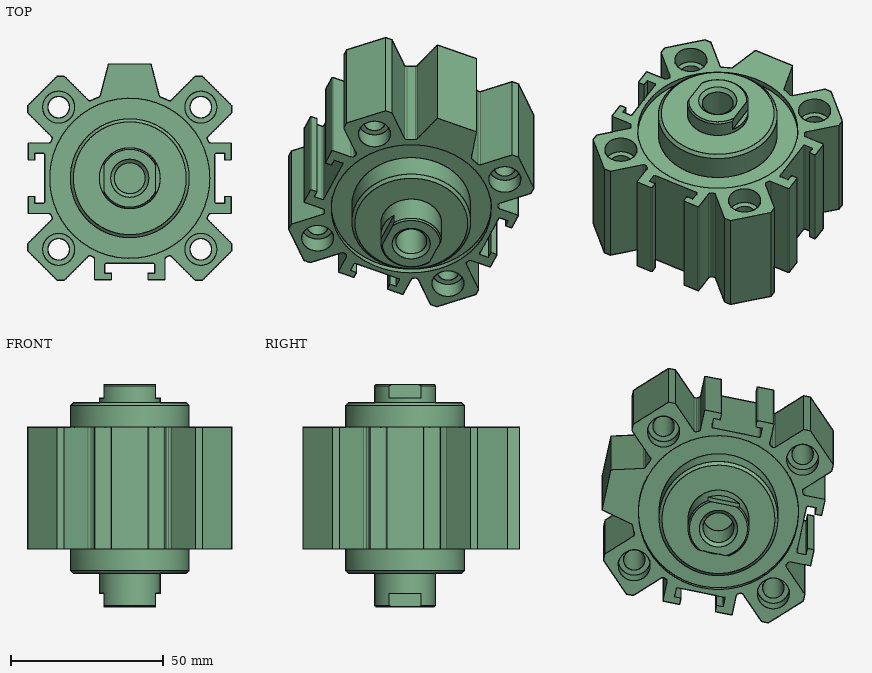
import cadquery as cq
import math

body_height = 40.0
wall_radius = 28.5
root_fillet = 0.8

envelope_half = 33.5
lug_reach = 40.5
lug_width = 17.0

bolt_offset = 23.3
bolt_hole_diameter = 7.0
counterbore_diameter = 10.5
counterbore_depth = 6.5

rail_face = 33.35
rail_half_width = 11.6
rail_edge_fillet = 0.3
slot_floor = 27.9
slot_half_width = 8.15
slot_mouth_half_width = 5.95
lip_thickness = 2.25
slot_floor_fillet = 0.4

boss_face = 37.5
boss_tip_half_width = 7.0
boss_root_half_width = 9.8
boss_root = 26.7

recess_diameter = 52.5
recess_depth = 2.0
collar_diameter = 39.0
collar_height = 8.0
collar_chamfer = 1.0

rod_diameter = 20.0
rod_top_extension = 6.0
rod_bottom_extension = 11.0
rod_chamfer = 0.5
flats_width = 17.0
flats_length = 4.5
rod_hole_diameter = 10.11
rod_hole_mouth_diameter = 12.5
rod_hole_depth = 15.0

rod_top = body_height + collar_height + rod_top_extension
rod_bottom = -collar_height - rod_bottom_extension


def extrude_outline(points):
    return cq.Workplane("XY").polyline(points).close().extrude(body_height)


def make_lugs():
    lugs = cq.Workplane("XY")
    for angle in (45, 135):
        bar = cq.Workplane("XY").rect(2 * lug_reach, lug_width).extrude(body_height)
        lugs = lugs.add(bar.rotate((0, 0, 0), (0, 0, 1), angle))
    envelope = cq.Workplane("XY").rect(2 * envelope_half, 2 * envelope_half).extrude(body_height)
    return lugs.combine().intersect(envelope)


def make_rail():
    """Solid rail block on the -Y side."""
    rail = cq.Workplane("XY").rect(2 * rail_half_width, rail_face).extrude(body_height)
    return rail.translate((0, -rail_face / 2, 0))


def make_slot():
    """T-slot cutter for the rail on the -Y side."""
    lip_inside = rail_face - lip_thickness
    cavity = extrude_outline([
        (-slot_half_width, -slot_floor),
        (slot_half_width, -slot_floor),
        (slot_half_width, -lip_inside),
        (-slot_half_width, -lip_inside),
    ]).edges("|Z and >Y").fillet(slot_floor_fillet)
    mouth = extrude_outline([
        (-slot_mouth_half_width, -slot_floor),
        (slot_mouth_half_width, -slot_floor),
        (slot_mouth_half_width, -rail_face),
        (-slot_mouth_half_width, -rail_face),
    ])
    return cavity.union(mouth)


def make_boss():
    return extrude_outline([
        (0, 0),
        (-boss_root_half_width, boss_root),
        (-boss_tip_half_width, boss_face),
        (boss_tip_half_width, boss_face),
        (boss_root_half_width, boss_root),
    ])


def on_rail_sides(shape):
    return [shape.rotate((0, 0, 0), (0, 0, 1), angle) for angle in (-90, 0, 90)]


def make_bolt_hole_cutter():
    """Through hole on the Z axis with a counterbore at each end face."""
    hole = cq.Workplane("XY").circle(bolt_hole_diameter / 2).extrude(body_height)
    counterbore = cq.Workplane("XY").circle(counterbore_diameter / 2).extrude(counterbore_depth)
    top_counterbore = counterbore.translate((0, 0, body_height - counterbore_depth))
    return hole.union(counterbore).union(top_counterbore)


def make_profile():
    """Extruded body outline with lugs, rails, slots and boss, before machining."""
    body = cq.Workplane("XY").circle(wall_radius).extrude(body_height)
    body = body.union(make_lugs()).union(make_boss())
    for rail in on_rail_sides(make_rail()):
        body = body.union(rail)

    roots = [
        edge for edge in body.edges("|Z").vals()
        if math.isclose(math.hypot(edge.Center().x, edge.Center().y), wall_radius, abs_tol=0.01)
    ]
    body = body.newObject(roots).fillet(root_fillet)

    for slot in on_rail_sides(make_slot()):
        body = body.cut(slot)

    corners = [
        edge for edge in body.edges("|Z").vals()
        if math.isclose(max(abs(edge.Center().x), abs(edge.Center().y)), rail_face, abs_tol=0.01)
    ]
    return body.newObject(corners).fillet(rail_edge_fillet)


def make_housing():
    housing = make_profile()
    for x in (-bolt_offset, bolt_offset):
        for y in (-bolt_offset, bolt_offset):
            housing = housing.cut(make_bolt_hole_cutter().translate((x, y, 0)))

    recess = cq.Workplane("XY").circle(recess_diameter / 2).extrude(recess_depth)
    housing = housing.cut(recess).cut(recess.translate((0, 0, body_height - recess_depth)))
    collars = (
        cq.Workplane("XY", origin=(0, 0, -collar_height))
        .circle(collar_diameter / 2)
        .extrude(body_height + 2 * collar_height)
        .faces("<Z or >Z")
        .chamfer(collar_chamfer)
    )
    rod_bore = (
        cq.Workplane("XY", origin=(0, 0, rod_bottom))
        .circle(rod_diameter / 2)
        .extrude(rod_top - rod_bottom)
    )
    return housing.union(collars).cut(rod_bore)


def make_rod_hole_cutter():
    """Blind hole with a 45 degree mouth, opening at Z = 0 and going down."""
    mouth_depth = (rod_hole_mouth_diameter - rod_hole_diameter) / 2
    return (
        cq.Workplane("XZ")
        .polyline([
            (0, 0),
            (rod_hole_mouth_diameter / 2, 0),
            (rod_hole_diameter / 2, -mouth_depth),
            (rod_hole_diameter / 2, -rod_hole_depth),
            (0, -rod_hole_depth),
        ])
        .close()
        .revolve(360, (0, 0, 0), (0, 1, 0))
    )


def make_rod():
    rod = (
        cq.Workplane("XY", origin=(0, 0, rod_bottom))
        .circle(rod_diameter / 2)
        .extrude(rod_top - rod_bottom)
        .faces("<Z or >Z")
        .chamfer(rod_chamfer)
    )

    for flats_center in (rod_top - flats_length / 2, rod_bottom + flats_length / 2):
        for side in (-1, 1):
            waste = cq.Workplane("XY").box(rod_diameter, 2 * rod_diameter, flats_length)
            waste_x = side * (flats_width + rod_diameter) / 2
            rod = rod.cut(waste.translate((waste_x, 0, flats_center)))

    top_hole = make_rod_hole_cutter()
    bottom_hole = top_hole.mirror("XY")
    return rod.cut(top_hole.translate((0, 0, rod_top))).cut(bottom_hole.translate((0, 0, rod_bottom)))


housing = make_housing()
piston_rod = make_rod()

result = cq.Compound.makeCompound([housing.val(), piston_rod.val()])